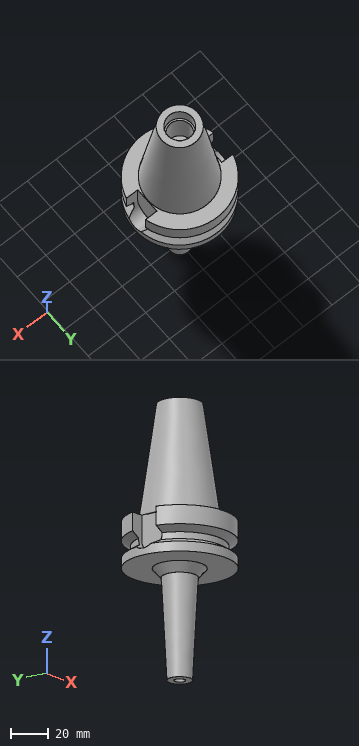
import cadquery as cq

total_height = 155.4
gauge_height = 90.0
flange_top = 89.0
flange_bottom = 63.0
neck_height = 57.8

shank_top_diameter = 25.3
gauge_diameter = 44.5
flange_diameter = 63.0
neck_top_diameter = 29.5
neck_diameter = 20.0
nose_tip_diameter = 14.0

groove_diameter = 53.0
groove_center_height = 73.43
groove_floor_width = 3.9
groove_mouth_width = 9.8

slot_width = 16.2
slot_bottom = 66.8
slot_floor_offset = 22.5

counterbore_diameter = 17.0
counterbore_depth = 9.0
thread_bore_diameter = 14.8
thread_bore_depth = 29.5
clearance_diameter = 8.5
tool_bore_diameter = 6.0
tool_bore_depth = 35.7


def make_body():
    """Revolve the taper shank, grooved flange and slender nose."""
    profile = [
        (0, 0),
        (nose_tip_diameter / 2, 0),
        (neck_diameter / 2, neck_height),
        (neck_top_diameter / 2, flange_bottom),
        (flange_diameter / 2, flange_bottom),
        (flange_diameter / 2, groove_center_height - groove_mouth_width / 2),
        (groove_diameter / 2, groove_center_height - groove_floor_width / 2),
        (groove_diameter / 2, groove_center_height + groove_floor_width / 2),
        (flange_diameter / 2, groove_center_height + groove_mouth_width / 2),
        (flange_diameter / 2, flange_top),
        (gauge_diameter / 2, flange_top),
        (gauge_diameter / 2, gauge_height),
        (shank_top_diameter / 2, total_height),
        (0, total_height),
    ]
    return cq.Workplane("XZ").polyline(profile).close().revolve(360, (0, 0), (0, 1))


def make_drive_slot(side):
    """Round-bottomed slot cutter, open at the flange top; side is -1 or +1."""
    radius = slot_width / 2
    arc_center_height = slot_bottom + radius
    return (
        cq.Workplane("YZ", origin=(side * slot_floor_offset, 0, 0))
        .moveTo(-radius, flange_top)
        .lineTo(-radius, arc_center_height)
        .threePointArc((0, slot_bottom), (radius, arc_center_height))
        .lineTo(radius, flange_top)
        .close()
        .extrude(side * flange_diameter / 2)
    )


def make_bore(diameter, bottom, top):
    """Cylindrical cutter on the Z axis between two heights."""
    return cq.Workplane("XY", origin=(0, 0, bottom)).circle(diameter / 2).extrude(top - bottom)


result = make_body()

for slot_side in (-1, 1):
    result = result.cut(make_drive_slot(slot_side))

result = result.cut(make_bore(counterbore_diameter, total_height - counterbore_depth, total_height))
result = result.cut(make_bore(thread_bore_diameter, total_height - thread_bore_depth, total_height))
result = result.cut(make_bore(clearance_diameter, tool_bore_depth, total_height))
result = result.cut(make_bore(tool_bore_diameter, 0, total_height))